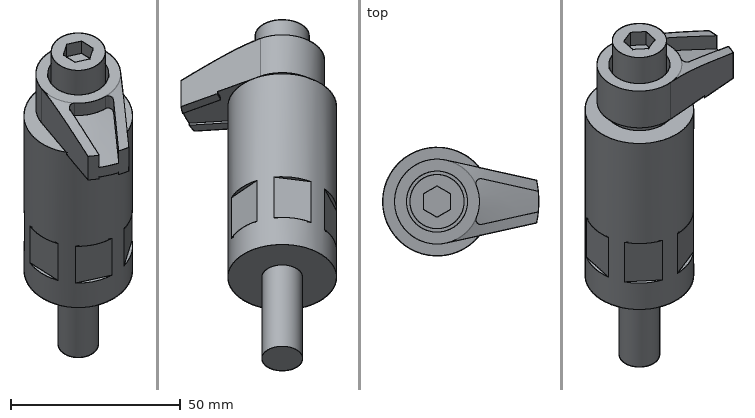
import cadquery as cq
import math

TOTAL_HEIGHT = 119.0
SLEEVE_BOTTOM = 30.0
FLATS_BOTTOM = 40.0
FLATS_TOP = 55.0
SLEEVE_TOP = 92.9
NECK_TOP = 96.0
HUB_TOP = 110.0

SLEEVE_DIAMETER = 32.0
NECK_DIAMETER = 20.0
FLAT_COUNT = 6
FLAT_DISTANCE = 15.0
PIN_DIAMETER = 12.0
HEAD_DIAMETER = 16.0
HEX_ACROSS_FLATS = 8.0
HEX_DEPTH = 5.0

HUB_RADIUS = 12.5
BORE_DIAMETER = 18.0
TIP_RADIUS = 30.0
TIP_TOP = 105.0
SIDE_TAPER = 12.5
ARM_THICKNESS = 3.1
POCKET_DEPTH = 5.0
POCKET_CORNER_RADIUS = 1.4
FOOT_START = 17.1
FOOT_DROP = 0.7

TRIM_X = 1.2 * TIP_RADIUS


def cylinder(diameter, bottom, top):
    return cq.Workplane("XY").workplane(offset=bottom).circle(diameter / 2).extrude(top - bottom)


def make_sleeve():
    """Sleeve with a neck, a ring of wrench flats and a bore for the pin."""
    sleeve = cylinder(SLEEVE_DIAMETER, SLEEVE_BOTTOM, SLEEVE_TOP)
    sleeve = sleeve.union(cylinder(NECK_DIAMETER, SLEEVE_TOP, NECK_TOP))
    flats_height = FLATS_TOP - FLATS_BOTTOM
    cutter = cq.Workplane("XY").box(
        SLEEVE_DIAMETER, SLEEVE_DIAMETER, flats_height, centered=(False, True, False)
    ).translate((FLAT_DISTANCE, 0, FLATS_BOTTOM))
    for index in range(FLAT_COUNT):
        sleeve = sleeve.cut(cutter.rotate((0, 0, 0), (0, 0, 1), index * 360 / FLAT_COUNT))
    return sleeve.cut(cylinder(PIN_DIAMETER, SLEEVE_BOTTOM, NECK_TOP))


def make_pin():
    """Pin whose head rests on the neck and has a hexagon socket."""
    pin = cylinder(PIN_DIAMETER, 0, NECK_TOP)
    pin = pin.union(cylinder(HEAD_DIAMETER, NECK_TOP, TOTAL_HEIGHT))
    hex_across_corners = HEX_ACROSS_FLATS / math.cos(math.pi / 6)
    socket = (
        cq.Workplane("XY").polygon(6, hex_across_corners).extrude(HEX_DEPTH)
        .rotate((0, 0, 0), (0, 0, 1), 30)
        .translate((0, 0, TOTAL_HEIGHT - HEX_DEPTH))
    )
    return pin.cut(socket)


def tapered_wedge(tangent_radius, bottom, top):
    """Wedge whose two tapering sides are tangent to a circle about the axis."""
    taper = math.radians(SIDE_TAPER)
    start_x = tangent_radius * math.sin(taper)
    start_y = tangent_radius * math.cos(taper)
    end_y = start_y - (TRIM_X - start_x) * math.tan(taper)
    outline = [(start_x, -start_y), (TRIM_X, -end_y), (TRIM_X, end_y), (start_x, start_y)]
    return cq.Workplane("XY").workplane(offset=bottom).polyline(outline).close().extrude(top - bottom)


def lever_envelope(bottom, lowering=0):
    """Turned shape with the lever's round tip and conical top, lowered if asked."""
    center_top = HUB_TOP - lowering
    profile = [
        (0, bottom),
        (TIP_RADIUS, bottom),
        (TIP_RADIUS, TIP_TOP - lowering),
        (HUB_RADIUS, center_top),
        (0, center_top),
    ]
    return cq.Workplane("XZ").polyline(profile).close().revolve(360, (0, 0, 0), (0, 1, 0))


def make_lever():
    """Hub with a tapering handle, hollowed above between two arms."""
    foot_bottom = NECK_TOP - FOOT_DROP
    inner_radius = HUB_RADIUS - ARM_THICKNESS
    hub = cylinder(2 * HUB_RADIUS, NECK_TOP, HUB_TOP)

    handle = tapered_wedge(HUB_RADIUS, NECK_TOP, HUB_TOP)
    feet = tapered_wedge(HUB_RADIUS, foot_bottom, NECK_TOP)
    feet = feet.cut(tapered_wedge(inner_radius, foot_bottom, NECK_TOP))
    behind_feet = cq.Workplane("XY").box(
        FOOT_START, 2 * SLEEVE_DIAMETER, FOOT_DROP, centered=(False, True, False)
    ).translate((0, 0, foot_bottom))
    handle = handle.union(feet.cut(behind_feet)).intersect(lever_envelope(foot_bottom))

    pocket = tapered_wedge(inner_radius, NECK_TOP, HUB_TOP).cut(hub)
    inner_corners = cq.selectors.BoxSelector((0, -HUB_RADIUS, 0), (HUB_RADIUS, HUB_RADIUS, TOTAL_HEIGHT))
    pocket = pocket.edges("|Z").edges(inner_corners).fillet(POCKET_CORNER_RADIUS)
    below_floor = lever_envelope(foot_bottom, POCKET_DEPTH)
    pocket = pocket.cut(below_floor)

    return hub.union(handle).cut(pocket).cut(cylinder(BORE_DIAMETER, NECK_TOP, HUB_TOP))


sleeve = make_sleeve()
pin = make_pin()
lever = make_lever()
result = cq.Compound.makeCompound([sleeve.val(), pin.val(), lever.val()])